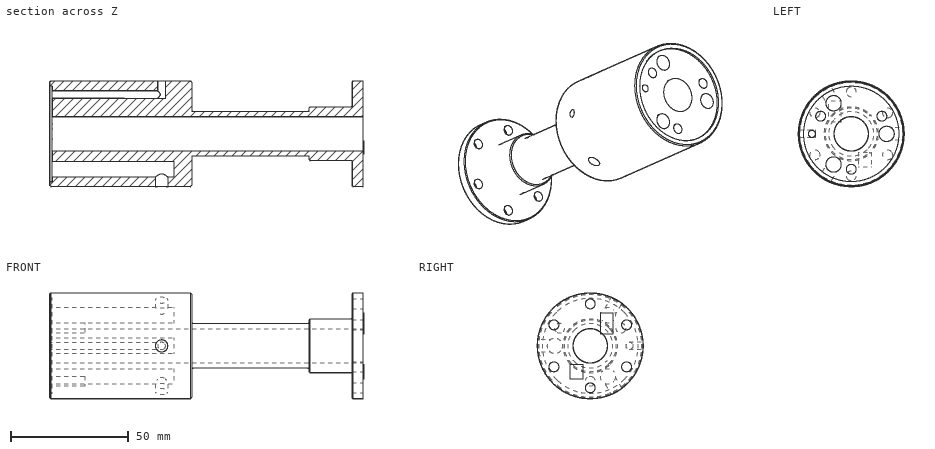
import cadquery as cq
import math

body_length = 60.4
boss_start = 110.0
flange_start = 128.3
flange_end = 133.0

body_diameter = 45.0
shaft_diameter = 19.0
boss_diameter = 23.0
flange_diameter = 45.0
bore_diameter = 14.5

body_front_chamfer = 0.5
body_rear_chamfer = 0.7
boss_chamfer = 0.5
flange_chamfer = 0.4
inner_corner_fillet = 0.4

inner_corners = (
    (body_length, shaft_diameter),
    (boss_start, shaft_diameter),
    (flange_start, boss_diameter),
)
corner_window = 0.05

recess_diameter = 40.5
recess_depth = 1.0

hole_circle_radius = 15.0
clamp_hole_diameter = 6.5
clamp_hole_angles = (0, 120, 240)
screw_hole_diameter = 4.2
screw_hole_angles = (30, 150, 270)
screw_hole_depth = 15.0

radial_hole_station = 47.5
radial_hole_diameter = 5.2
clamp_hole_depth = radial_hole_station + radial_hole_diameter

passage_diameter = 3.0
passage_radius = 16.7
passage_angle = 180
port_diameter = 3.2
port_floor_radius = passage_radius - port_diameter / 2

bolt_circle_radius = 17.8
bolt_hole_diameter = 4.2
bolt_count = 6
bolt_start_angle = 30

mark_height = 0.27
mark_size_y = 5.5
mark_pads = ((7.0, 9.5, 9.0), (-5.8, -11.0, 6.0))


def across_axis(radius, angle):
    """Y and Z of a point around the X axis; zero degrees points to -Y, 90 to +Z."""
    turn = math.radians(angle)
    return -radius * math.cos(turn), radius * math.sin(turn)


def x_cylinder(diameter, start, length):
    """Cylinder on the X axis."""
    return cq.Workplane("YZ", origin=(start, 0, 0)).circle(diameter / 2).extrude(length)


def axial_hole(diameter, radius, angle, start, length):
    """Cutter parallel to the X axis."""
    y, z = across_axis(radius, angle)
    return x_cylinder(diameter, start, length).translate((0, y, z))


def radial_hole(diameter, floor_radius, angle):
    """Cutter from a floor radius out through the side of the body."""
    y, z = across_axis(1, angle)
    fy, fz = across_axis(floor_radius, angle)
    start = cq.Vector(radial_hole_station, fy, fz)
    length = body_diameter - floor_radius
    return cq.Workplane(cq.Solid.makeCylinder(diameter / 2, length, start, cq.Vector(0, y, z)))


def turned_profile():
    """Body, shaft, boss and flange with their edge breaks, before any hole is cut."""
    body = x_cylinder(body_diameter, 0, body_length)
    body = body.faces("<X").edges().chamfer(body_front_chamfer)
    body = body.faces(">X").edges().chamfer(body_rear_chamfer)
    shaft = x_cylinder(shaft_diameter, 0, flange_end)
    boss = x_cylinder(boss_diameter, boss_start, flange_end - boss_start)
    boss = boss.faces("<X").edges().chamfer(boss_chamfer)
    flange = x_cylinder(flange_diameter, flange_start, flange_end - flange_start)
    flange = flange.faces("<X").edges().chamfer(flange_chamfer)
    turned = body.union(shaft).union(boss).union(flange)
    for station, diameter in inner_corners:
        low_corner = (station - corner_window, -diameter, -diameter)
        high_corner = (station + corner_window, diameter, diameter)
        station_edges = turned.edges(cq.selectors.BoxSelector(low_corner, high_corner))
        turned = station_edges.edges(cq.selectors.RadiusNthSelector(0)).fillet(inner_corner_fillet)
    return turned


def cut_body_holes(part):
    for angle in clamp_hole_angles:
        part = part.cut(axial_hole(clamp_hole_diameter, hole_circle_radius, angle, 0, clamp_hole_depth))
        part = part.cut(radial_hole(radial_hole_diameter, hole_circle_radius, angle))
    for angle in screw_hole_angles:
        part = part.cut(axial_hole(screw_hole_diameter, hole_circle_radius, angle, 0, screw_hole_depth))
    return part


def cut_passage(part):
    part = part.cut(axial_hole(passage_diameter, passage_radius, passage_angle, 0, radial_hole_station))
    return part.cut(radial_hole(port_diameter, port_floor_radius, passage_angle))


def cut_bolt_holes(part):
    thickness = flange_end - flange_start
    for index in range(bolt_count):
        angle = bolt_start_angle + index * 360 / bolt_count
        part = part.cut(axial_hole(bolt_hole_diameter, bolt_circle_radius, angle, flange_start, thickness))
    return part


def add_marks(part):
    for y, z, size_z in mark_pads:
        pad = cq.Workplane("YZ", origin=(flange_end, y, z)).rect(mark_size_y, size_z).extrude(mark_height)
        part = part.union(pad)
    return part


result = turned_profile().cut(x_cylinder(bore_diameter, 0, flange_end))
result = result.cut(x_cylinder(recess_diameter, 0, recess_depth))
result = cut_body_holes(result)
result = cut_passage(result)
result = cut_bolt_holes(result)
result = add_marks(result)